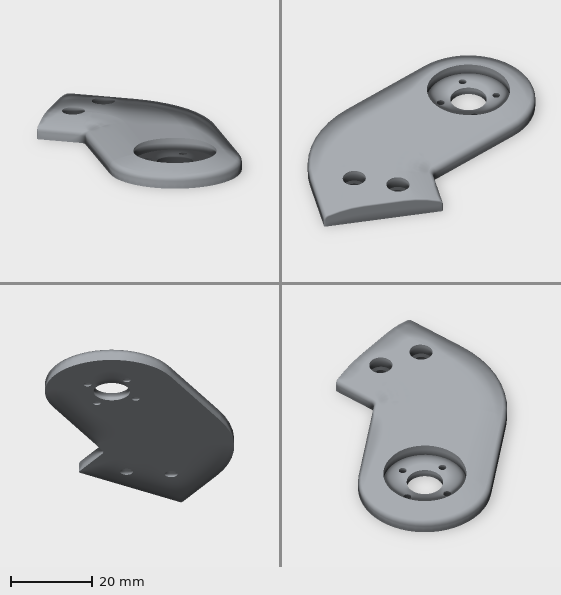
import cadquery as cq
import math

thickness = 5.0
round_end_radius = 16.5
end_x = -40.0
arm_top_y = 45.0
arm_bottom_y = 15.0
leg_tilt = math.radians(30)
outer_bend_radius = 28.75
inner_bend_radius = 1.75

crown_width = 10.0
crown_drop = 2.0
edge_fillet = 1.5
end_face_fillet = 0.4

seat_diameter = 20.5
seat_floor_z = 2.0
bore_diameter = 9.0
pin_diameter = 1.9
pin_circle_radius = 7.0
pin_count = 4

screw_diameter = 3.2
screw_head_diameter = 5.7
screw_seat_z = 2.0
upper_screw = (-28.75, arm_top_y - crown_width)
lower_screw = (-33.5, arm_bottom_y + crown_width)

cutter_margin = 1.0


def polar(center, radius, angle):
    """Point at the given angle on a circle."""
    return (center[0] + radius * math.cos(angle), center[1] + radius * math.sin(angle))


def bend_center_x(center_y, leg_side_offset):
    """X of the bend centre lying at a signed distance from the leg's centreline."""
    return (leg_side_offset - center_y * math.sin(leg_tilt)) / math.cos(leg_tilt)


def border_path():
    """Smooth open path along the side wall, from the top of the end face to its bottom."""
    outer_y = arm_top_y - outer_bend_radius
    outer = (bend_center_x(outer_y, round_end_radius - outer_bend_radius), outer_y)
    inner_y = arm_bottom_y - inner_bend_radius
    inner = (bend_center_x(inner_y, -round_end_radius - inner_bend_radius), inner_y)
    origin = (0, 0)
    upright = math.pi / 2
    bend_middle = (upright + leg_tilt) / 2
    return (
        cq.Workplane("XY")
        .moveTo(end_x, arm_top_y)
        .lineTo(outer[0], arm_top_y)
        .threePointArc(
            polar(outer, outer_bend_radius, bend_middle),
            polar(outer, outer_bend_radius, leg_tilt),
        )
        .lineTo(*polar(origin, round_end_radius, leg_tilt))
        .threePointArc(
            polar(origin, round_end_radius, leg_tilt - upright),
            polar(origin, round_end_radius, leg_tilt + math.pi),
        )
        .lineTo(*polar(inner, inner_bend_radius, leg_tilt))
        .threePointArc(
            polar(inner, inner_bend_radius, bend_middle),
            polar(inner, inner_bend_radius, upright),
        )
        .lineTo(end_x, arm_bottom_y)
    )


def border_cutter():
    """Material outside the rounded border, swept along the side wall."""
    upright = math.pi / 2
    crown_radius = (crown_width**2 + crown_drop**2) / (2 * crown_drop)
    crown_center = (-crown_width, thickness - crown_radius)

    tangent_angle = math.acos((crown_width - edge_fillet) / (crown_radius - edge_fillet))
    fillet_center = polar(crown_center, crown_radius - edge_fillet, tangent_angle)
    fillet_base_z = fillet_center[1]

    ceiling_z = thickness + cutter_margin
    section = (
        cq.Workplane("YZ", origin=(end_x, arm_top_y, 0))
        .moveTo(0, fillet_base_z)
        .threePointArc(
            polar(fillet_center, edge_fillet, tangent_angle / 2),
            polar(fillet_center, edge_fillet, tangent_angle),
        )
        .threePointArc(
            polar(crown_center, crown_radius, (tangent_angle + upright) / 2),
            polar(crown_center, crown_radius, upright),
        )
        .lineTo(-crown_width, ceiling_z)
        .lineTo(cutter_margin, ceiling_z)
        .lineTo(cutter_margin, fillet_base_z)
        .close()
    )
    return section.sweep(border_path())


def plate():
    """Bent plate with its rounded border and softened end face."""
    body = border_path().close().extrude(thickness).cut(border_cutter())
    end_rim = body.faces("<X").edges("not <Z")
    return end_rim.fillet(end_face_fillet)


def cylinder(center, diameter, bottom_z):
    """Cutting cylinder that rises from bottom_z past the top face."""
    height = thickness + cutter_margin - bottom_z
    return cq.Workplane("XY", origin=(*center, bottom_z)).circle(diameter / 2).extrude(height)


def cut_round_seat(body):
    """Round seat with a central bore and a ring of pin holes."""
    center = (0, 0)
    body = body.cut(cylinder(center, seat_diameter, seat_floor_z))
    body = body.cut(cylinder(center, bore_diameter, 0))
    for index in range(pin_count):
        pin = polar(center, pin_circle_radius, 2 * math.pi * index / pin_count)
        body = body.cut(cylinder(pin, pin_diameter, 0))
    return body


def cut_screw_holes(body):
    """Counterbored through holes in the arm."""
    for center in (upper_screw, lower_screw):
        body = body.cut(cylinder(center, screw_head_diameter, screw_seat_z))
        body = body.cut(cylinder(center, screw_diameter, 0))
    return body


result = cut_screw_holes(cut_round_seat(plate()))